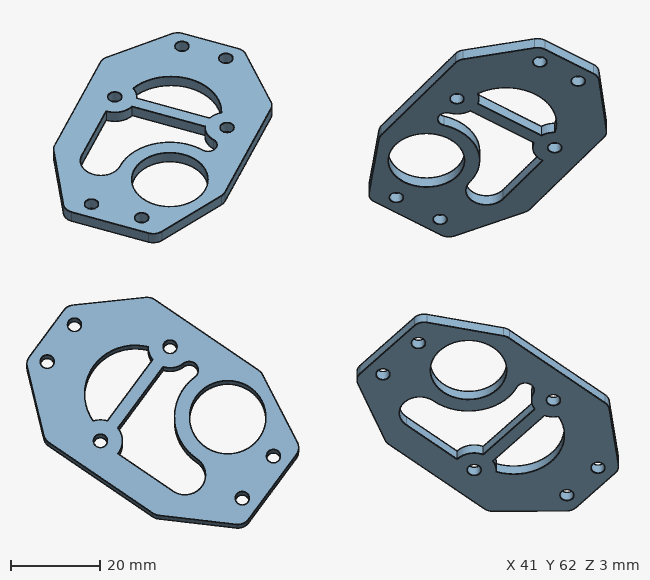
import cadquery as cq
import math

LENGTH = 62.0
WIDTH = 41.0
THICKNESS = 3.0
TOP_EDGE_HALF = 8.0
BOTTOM_EDGE_HALF = 11.0
SIDE_TOP_Y = 16.9
SIDE_BOTTOM_Y = -13.4
CORNER_RADIUS = 3.0
EDGE_CHAMFER = 0.1

SCREW_DIAMETER = 3.05
TOP_SCREW_X = 5.3
TOP_SCREW_Y = 27.05
MIDDLE_SCREW_X = 13.45
MIDDLE_SCREW_Y = 6.65
BOTTOM_SCREW_X = 6.0
BOTTOM_SCREW_Y = -27.0

BORE_X = 7.5
BORE_Y = -13.4
BORE_RADIUS = 8.5
RIM_RADIUS = 11.95

BAR_WIDTH = 3.0
BOSS_RADIUS = 4.95
DOME_RADIUS = 11.3
WINDOW_LEFT_X = -13.6


def plate():
    half_width = WIDTH / 2
    half_length = LENGTH / 2
    right_side = [
        (BOTTOM_EDGE_HALF, -half_length),
        (half_width, SIDE_BOTTOM_Y),
        (half_width, SIDE_TOP_Y),
        (TOP_EDGE_HALF, half_length),
    ]
    left_side = [(-x, y) for x, y in reversed(right_side)]
    return (
        cq.Workplane("XY")
        .polyline(right_side + left_side)
        .close()
        .extrude(THICKNESS)
        .edges("|Z")
        .fillet(CORNER_RADIUS)
    )


def screw_holes():
    centers = [
        (side * x, y)
        for x, y in (
            (TOP_SCREW_X, TOP_SCREW_Y),
            (MIDDLE_SCREW_X, MIDDLE_SCREW_Y),
            (BOTTOM_SCREW_X, BOTTOM_SCREW_Y),
        )
        for side in (-1, 1)
    ]
    return cq.Workplane("XY").pushPoints(centers).circle(SCREW_DIAMETER / 2).extrude(THICKNESS)


def bore():
    return cq.Workplane("XY").center(BORE_X, BORE_Y).circle(BORE_RADIUS).extrude(THICKNESS)


def on_circle(center, radius, angle):
    return (center[0] + radius * math.cos(angle), center[1] + radius * math.sin(angle))


def direction(start, end):
    return math.atan2(end[1] - start[1], end[0] - start[0])


def dome_window():
    """Half-moon opening above the cross bar, notched by the two bosses."""
    boss = (MIDDLE_SCREW_X, MIDDLE_SCREW_Y)
    crossing = math.acos(
        (DOME_RADIUS**2 + MIDDLE_SCREW_X**2 - BOSS_RADIUS**2) / (2 * DOME_RADIUS * MIDDLE_SCREW_X)
    )
    dome_end = on_circle((0, MIDDLE_SCREW_Y), DOME_RADIUS, crossing)
    bar_angle = math.pi - math.asin(BAR_WIDTH / 2 / BOSS_RADIUS)
    bar_end = on_circle(boss, BOSS_RADIUS, bar_angle)
    boss_middle = on_circle(boss, BOSS_RADIUS, (bar_angle + direction(boss, dome_end)) / 2)
    return (
        cq.Workplane("XY")
        .moveTo(*bar_end)
        .lineTo(-bar_end[0], bar_end[1])
        .threePointArc((-boss_middle[0], boss_middle[1]), (-dome_end[0], dome_end[1]))
        .threePointArc((0, MIDDLE_SCREW_Y + DOME_RADIUS), dome_end)
        .threePointArc(boss_middle, bar_end)
        .close()
        .extrude(THICKNESS)
    )


def hook_window():
    """Opening below the cross bar that wraps around the rim of the bore."""
    left_boss = (-MIDDLE_SCREW_X, MIDDLE_SCREW_Y)
    right_boss = (MIDDLE_SCREW_X, MIDDLE_SCREW_Y)
    rim = (BORE_X, BORE_Y)

    finger_angle = direction(rim, right_boss)
    finger_radius = (math.dist(rim, right_boss) - RIM_RADIUS - BOSS_RADIUS) / 2
    finger = on_circle(rim, RIM_RADIUS + finger_radius, finger_angle)
    finger_tip = on_circle(finger, finger_radius, finger_angle - math.pi / 2)
    finger_start = on_circle(finger, finger_radius, finger_angle)
    finger_end = on_circle(rim, RIM_RADIUS, finger_angle)

    bar_angle = math.asin(BAR_WIDTH / 2 / BOSS_RADIUS)
    left_bar_end = on_circle(left_boss, BOSS_RADIUS, -bar_angle)
    right_bar_end = on_circle(right_boss, BOSS_RADIUS, math.pi + bar_angle)
    side_angle = -math.acos((WINDOW_LEFT_X + MIDDLE_SCREW_X) / BOSS_RADIUS)
    side_top = on_circle(left_boss, BOSS_RADIUS, side_angle)
    left_boss_middle = on_circle(left_boss, BOSS_RADIUS, (side_angle - bar_angle) / 2)
    right_boss_angle = (math.pi + bar_angle + math.pi + finger_angle) / 2
    right_boss_middle = on_circle(right_boss, BOSS_RADIUS, right_boss_angle)

    rim_left_x = BORE_X - RIM_RADIUS
    end_radius = (rim_left_x - WINDOW_LEFT_X) / 2
    end_bottom = (WINDOW_LEFT_X + end_radius, BORE_Y - end_radius)

    return (
        cq.Workplane("XY")
        .moveTo(*left_bar_end)
        .lineTo(*right_bar_end)
        .threePointArc(right_boss_middle, finger_start)
        .threePointArc(finger_tip, finger_end)
        .threePointArc(on_circle(rim, RIM_RADIUS, (finger_angle + math.pi) / 2), (rim_left_x, BORE_Y))
        .threePointArc(end_bottom, (WINDOW_LEFT_X, BORE_Y))
        .lineTo(*side_top)
        .threePointArc(left_boss_middle, left_bar_end)
        .close()
        .extrude(THICKNESS)
    )


solid_plate = plate()
for opening in (screw_holes(), bore(), dome_window(), hook_window()):
    solid_plate = solid_plate.cut(opening)

result = solid_plate.faces("<Z or >Z").edges().chamfer(EDGE_CHAMFER)